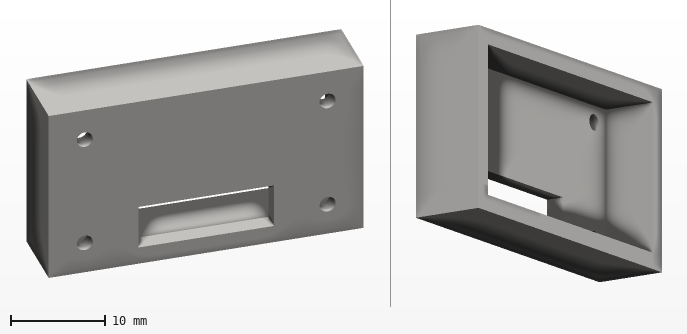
import cadquery as cq

depth = 8.0
length = 35.0
height = 20.0

wall = 1.8
floor_thickness = 2.0
pocket_depth = depth - floor_thickness
pocket_length = length - 2 * wall
pocket_height = height - 2 * wall

hole_diameter = 1.8
hole_spacing_y = 27.0
hole_spacing_z = 12.75

window_length = 15.1
window_height = 5.0
window_bottom_margin = 2.0
window_center_z = -height / 2 + window_bottom_margin + window_height / 2


def box_from_open_face(size_x, size_y, size_z, center_z=0):
    """Box centred on Y that starts at the open face and runs towards +X."""
    box = cq.Workplane("XY").box(size_x, size_y, size_z)
    return box.translate(((size_x - depth) / 2, 0, center_z))


body = box_from_open_face(depth, length, height)
pocket = box_from_open_face(pocket_depth, pocket_length, pocket_height)
window = box_from_open_face(depth, window_length, window_height, window_center_z)
holes = (
    cq.Workplane("YZ", origin=(-depth / 2, 0, 0))
    .rarray(hole_spacing_y, hole_spacing_z, 2, 2)
    .circle(hole_diameter / 2)
    .extrude(depth)
)

result = body.cut(pocket).cut(window).cut(holes)